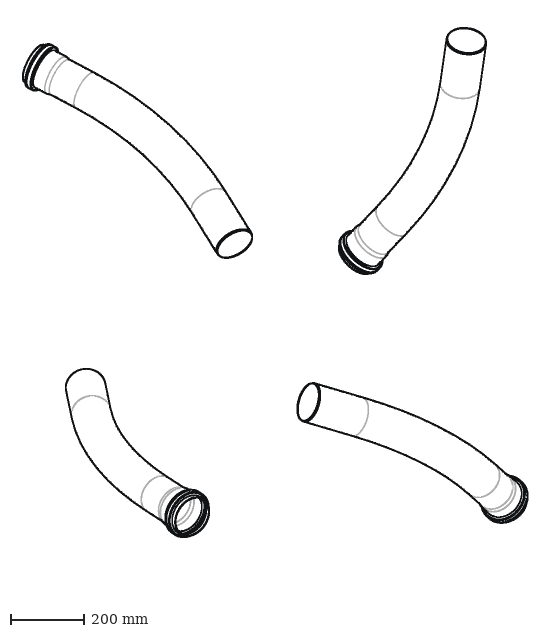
import cadquery as cq
import math

wall = 2.5
pipe_radius = 110.0 / 2
bore_radius = pipe_radius - wall
bend_radius = 998.0
bend_angle = 30.0
spigot_length = 162.0
spigot_chamfer_length = 4.0
spigot_chamfer_depth = 2.0

socket_bore_radius = 110.5 / 2
socket_radius = socket_bore_radius + wall
bead_radius = 134.0 / 2
groove_radius = bead_radius - wall
bead_start = 13.0
bead_end = 35.0
ring_chamfer_length = 2.5
ring_chamfer_depth = 1.0
socket_end = 71.5
taper_end = 84.0
bend_start = 165.5


def socket_profile(body_radius, ring_radius, end_radius, ring_start, ring_end):
    """Half section from the axis out to a stepped wall with a chamfered ring."""
    return (
        cq.Workplane("XY")
        .polyline([
            (0, 0),
            (0, body_radius),
            (ring_start, body_radius),
            (ring_start, ring_radius - ring_chamfer_depth),
            (ring_start + ring_chamfer_length, ring_radius),
            (ring_end - ring_chamfer_length, ring_radius),
            (ring_end, ring_radius - ring_chamfer_depth),
            (ring_end, body_radius),
            (socket_end, body_radius),
            (taper_end, end_radius),
            (bend_start, end_radius),
            (bend_start, 0),
        ])
        .close()
    )


def revolve_about_x(profile):
    return profile.revolve(360, (0, 0, 0), (1, 0, 0))


def make_socket():
    """Socket with its hollow sealing bead, and the straight pipe behind it."""
    outside = revolve_about_x(
        socket_profile(socket_radius, bead_radius, pipe_radius, bead_start, bead_end)
    )
    inside = revolve_about_x(
        socket_profile(
            socket_bore_radius, groove_radius, bore_radius, bead_start + wall, bead_end - wall
        )
    )
    return outside.cut(inside)


def make_bend():
    """Pipe ring swept about a vertical axis on the -Y side."""
    return (
        cq.Workplane("YZ", origin=(bend_start, 0, 0))
        .circle(pipe_radius)
        .circle(bore_radius)
        .revolve(bend_angle, (-bend_radius, 8, 0), (-bend_radius, 0, 0))
    )


def make_spigot():
    """Straight plain end with an outer lead-in chamfer, placed at the end of the bend."""
    spigot = revolve_about_x(
        cq.Workplane("XY")
        .polyline([
            (0, bore_radius),
            (0, pipe_radius),
            (spigot_length - spigot_chamfer_length, pipe_radius),
            (spigot_length, pipe_radius - spigot_chamfer_depth),
            (spigot_length, bore_radius),
        ])
        .close()
    )
    angle = math.radians(bend_angle)
    end_x = bend_start + bend_radius * math.sin(angle)
    end_y = -bend_radius * (1 - math.cos(angle))
    return spigot.rotate((0, 0, 0), (0, 0, 1), -bend_angle).translate((end_x, end_y, 0))


result = make_socket().union(make_bend()).union(make_spigot())